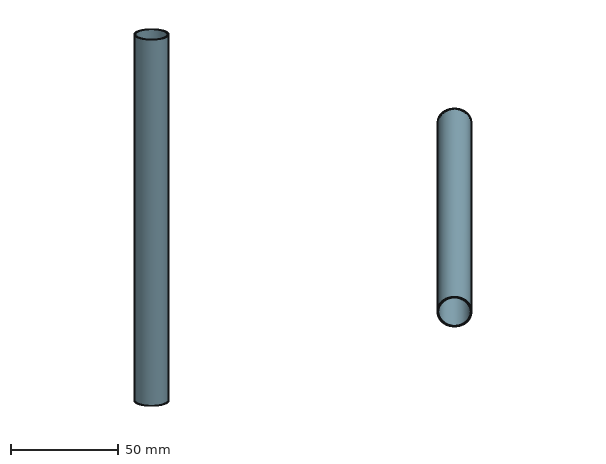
import cadquery as cq

length = 180.0
outer_diameter = 16.0
wall_thickness = 0.5

inner_diameter = outer_diameter - 2 * wall_thickness

result = (
    cq.Workplane("XY")
    .circle(outer_diameter / 2)
    .circle(inner_diameter / 2)
    .extrude(length)
)